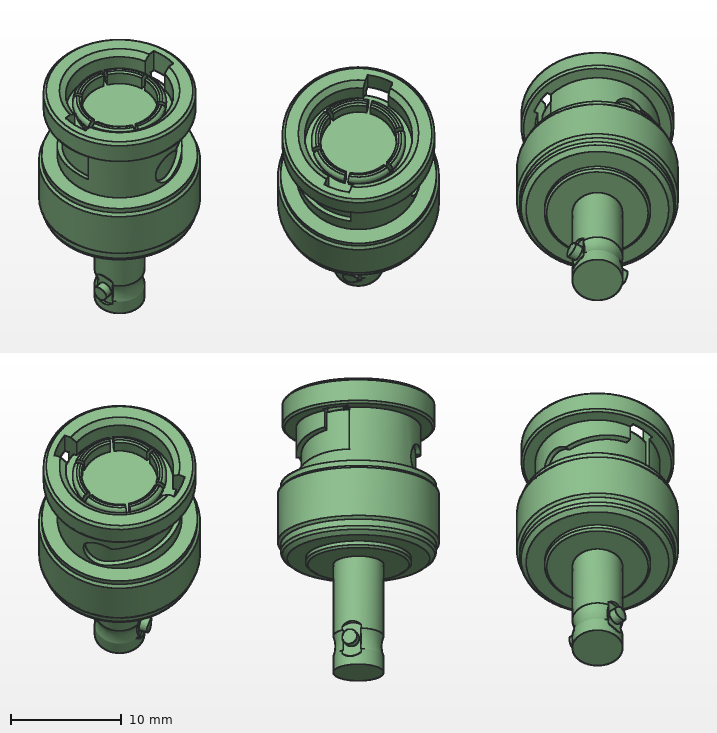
import cadquery as cq

TOTAL_HEIGHT = 25.9
FLANGE_BOTTOM = 23.47
CORE_TOP = 23.45
COLLAR_TOP = 17.87
BODY_TOP = 17.1
BODY_BOTTOM = 12.48
RIM_TAPER_START = 11.6
RIM_CHAMFER_START = 11.3
COLLAR_BOTTOM = 10.93
STEM_TOP = 10.35

STEM_RADIUS = 2.28
SEAT_RADIUS = 4.8
RIM_BOTTOM_RADIUS = 6.45
RIM_TAPER_RADIUS = 6.92
COLLAR_RADIUS = 7.05
BODY_RADIUS = 7.3
NECK_RADIUS = 5.65
FLANGE_RADIUS = 6.9

SEAT_CHAMFER = 0.2
BODY_CHAMFER = BODY_RADIUS - COLLAR_RADIUS
FLANGE_TOP_CHAMFER = 0.25
FLANGE_BOTTOM_CHAMFER = 0.2

BORE_RADIUS = 4.87
BORE_MOUTH_RADIUS = 5.45
BORE_LEAD_IN = 0.47

CONTACT_INNER_RADIUS = 3.45
CONTACT_LAND_INNER_RADIUS = 3.65
CONTACT_LAND_OUTER_RADIUS = 3.88
CONTACT_BULGE_RADIUS = 4.25
CONTACT_ROOT_RADIUS = 4.0
CONTACT_TOP = 24.86
CONTACT_CHAMFER_HEIGHT = 0.13
CONTACT_BULGE_HEIGHT = 24.4
CONTACT_BULGE_BOTTOM = 23.93
CONTACT_SLIT_WIDTH = 0.35
CONTACT_SEGMENTS = 6

SLOT_WIDTH = 2.38
NOTCH_OUTER_RADIUS = 6.0
NOTCH_ANGLE = -4.0
NOTCH_BOTTOM = 20.72
SLOT_FLOOR_RADIUS = 5.18
RAMP_ANGLE = 14.3
RAMP_LENGTH = 10.35
DETENT_RADIUS = 1.58
DETENT_HEIGHT = 19.65

PIN_HEIGHT = 2.49
PIN_RADIUS = 0.7
PIN_END_RADIUS = 2.9
GROOVE_HALF_WIDTH = 0.98
GROOVE_FLOOR_RADIUS = 2.1
GROOVE_GAP = 1.65
SPOT_FACE_RADIUS = 1.58
SPOT_FACE_DISTANCE = 2.1
SPOT_FACE_FLARE = 33.0

CUT_REACH = 2 * BODY_RADIUS


def cylinder(radius, bottom, top):
    return cq.Workplane("XY").workplane(offset=bottom).circle(radius).extrude(top - bottom)


def revolve_about_axis(profile):
    return profile.close().revolve(360, (0, 0, 0), (0, 1, 0))


def half_turn(shape):
    return shape.rotate((0, 0, 0), (0, 0, 1), 180)


def turned_blank():
    """Stem, seat, collar, neck and flange as one solid of revolution."""
    profile = (
        cq.Workplane("XZ")
        .lineTo(STEM_RADIUS, 0)
        .lineTo(STEM_RADIUS, STEM_TOP)
        .lineTo(SEAT_RADIUS - SEAT_CHAMFER, STEM_TOP)
        .lineTo(SEAT_RADIUS, STEM_TOP + SEAT_CHAMFER)
        .lineTo(SEAT_RADIUS, COLLAR_BOTTOM)
        .lineTo(RIM_BOTTOM_RADIUS, COLLAR_BOTTOM)
        .lineTo(RIM_TAPER_RADIUS, RIM_CHAMFER_START)
        .lineTo(COLLAR_RADIUS, RIM_TAPER_START)
        .lineTo(COLLAR_RADIUS, BODY_BOTTOM - BODY_CHAMFER)
        .lineTo(BODY_RADIUS, BODY_BOTTOM)
        .lineTo(BODY_RADIUS, BODY_TOP)
        .lineTo(COLLAR_RADIUS, BODY_TOP + BODY_CHAMFER)
        .lineTo(COLLAR_RADIUS, COLLAR_TOP)
        .lineTo(NECK_RADIUS, COLLAR_TOP)
        .lineTo(NECK_RADIUS, FLANGE_BOTTOM)
        .lineTo(FLANGE_RADIUS - FLANGE_BOTTOM_CHAMFER, FLANGE_BOTTOM)
        .lineTo(FLANGE_RADIUS, FLANGE_BOTTOM + FLANGE_BOTTOM_CHAMFER)
        .lineTo(FLANGE_RADIUS, TOTAL_HEIGHT - FLANGE_TOP_CHAMFER)
        .lineTo(FLANGE_RADIUS - FLANGE_TOP_CHAMFER, TOTAL_HEIGHT)
        .lineTo(0, TOTAL_HEIGHT)
    )
    return revolve_about_axis(profile)


def bore():
    """Bore down to the top of the core, with a conical mouth."""
    profile = (
        cq.Workplane("XZ")
        .moveTo(0, CORE_TOP)
        .lineTo(BORE_RADIUS, CORE_TOP)
        .lineTo(BORE_RADIUS, TOTAL_HEIGHT - BORE_LEAD_IN)
        .lineTo(BORE_MOUTH_RADIUS, TOTAL_HEIGHT)
        .lineTo(0, TOTAL_HEIGHT)
    )
    return revolve_about_axis(profile)


def bayonet_slot():
    """Slot entering at the -Y side and ramping down to a detent at the -X side."""
    notch = (
        cq.Workplane("XY")
        .workplane(offset=NOTCH_BOTTOM)
        .center(0, -CUT_REACH / 2)
        .rect(SLOT_WIDTH, CUT_REACH)
        .extrude(TOTAL_HEIGHT - NOTCH_BOTTOM)
    )
    ramp_limit = (
        cq.Workplane("XY")
        .center((SLOT_WIDTH - CUT_REACH) / 2, -CUT_REACH / 2)
        .rect(CUT_REACH, CUT_REACH)
        .extrude(TOTAL_HEIGHT)
    )
    notch = notch.rotate((0, 0, 0), (0, 0, 1), NOTCH_ANGLE)
    ramp_limit = ramp_limit.rotate((0, 0, 0), (0, 0, 1), NOTCH_ANGLE)

    ramp = (
        cq.Workplane("YZ")
        .center(-RAMP_LENGTH / 2, SLOT_WIDTH / 2 - DETENT_RADIUS)
        .rect(RAMP_LENGTH, SLOT_WIDTH)
        .extrude(CUT_REACH, both=True)
        .rotate((0, 0, 0), (1, 0, 0), -RAMP_ANGLE)
        .translate((0, 0, DETENT_HEIGHT))
        .intersect(ramp_limit)
    )
    detent = (
        cq.Workplane("YZ")
        .center(0, DETENT_HEIGHT)
        .circle(DETENT_RADIUS)
        .extrude(-CUT_REACH)
    )

    reach = cylinder(NOTCH_OUTER_RADIUS, COLLAR_TOP, TOTAL_HEIGHT)
    core = cylinder(SLOT_FLOOR_RADIUS, COLLAR_TOP, CORE_TOP)
    return notch.union(ramp).union(detent).intersect(reach).cut(core)


def contact_ring():
    """Slotted ring with a bulged outer side, standing on the core."""
    profile = (
        cq.Workplane("XZ")
        .moveTo(CONTACT_INNER_RADIUS, CORE_TOP)
        .lineTo(CONTACT_INNER_RADIUS, CONTACT_TOP - CONTACT_CHAMFER_HEIGHT)
        .lineTo(CONTACT_LAND_INNER_RADIUS, CONTACT_TOP)
        .lineTo(CONTACT_LAND_OUTER_RADIUS, CONTACT_TOP)
        .threePointArc(
            (CONTACT_BULGE_RADIUS, CONTACT_BULGE_HEIGHT),
            (CONTACT_ROOT_RADIUS, CONTACT_BULGE_BOTTOM),
        )
        .lineTo(CONTACT_ROOT_RADIUS, CORE_TOP)
    )
    ring = revolve_about_axis(profile)
    slit = (
        cq.Workplane("XY")
        .workplane(offset=CORE_TOP)
        .center(0, CUT_REACH / 2)
        .rect(CONTACT_SLIT_WIDTH, CUT_REACH)
        .extrude(CONTACT_TOP - CORE_TOP)
    )
    for index in range(CONTACT_SEGMENTS):
        angle = index * 360 / CONTACT_SEGMENTS
        ring = ring.cut(slit.rotate((0, 0, 0), (0, 0, 1), angle))
    return ring


def stem_groove():
    """Shallow concave groove, interrupted where the spot faces sit."""
    profile = (
        cq.Workplane("XZ")
        .moveTo(STEM_RADIUS, PIN_HEIGHT - GROOVE_HALF_WIDTH)
        .threePointArc(
            (GROOVE_FLOOR_RADIUS, PIN_HEIGHT),
            (STEM_RADIUS, PIN_HEIGHT + GROOVE_HALF_WIDTH),
        )
        .lineTo(BODY_RADIUS, PIN_HEIGHT + GROOVE_HALF_WIDTH)
        .lineTo(BODY_RADIUS, PIN_HEIGHT - GROOVE_HALF_WIDTH)
    )
    gap = cq.Workplane("XY").rect(GROOVE_GAP, CUT_REACH).extrude(STEM_TOP)
    return revolve_about_axis(profile).cut(gap)


def spot_face():
    """Round flat on the -Y side of the stem, with a wall flaring outward."""
    depth = STEM_RADIUS - SPOT_FACE_DISTANCE
    return (
        cq.Workplane("XZ", origin=(0, -SPOT_FACE_DISTANCE, PIN_HEIGHT))
        .circle(SPOT_FACE_RADIUS)
        .extrude(depth, taper=-SPOT_FACE_FLARE)
    )


def cross_pin():
    """Pin along Y whose ends follow a cylinder about the stem axis."""
    bar = (
        cq.Workplane("XZ", origin=(0, 0, PIN_HEIGHT))
        .circle(PIN_RADIUS)
        .extrude(PIN_END_RADIUS, both=True)
    )
    return bar.intersect(cylinder(PIN_END_RADIUS, 0, STEM_TOP))


result = turned_blank().cut(bore()).cut(stem_groove())
for cutter in (bayonet_slot(), spot_face()):
    result = result.cut(cutter).cut(half_turn(cutter))
result = result.union(contact_ring()).union(cross_pin())